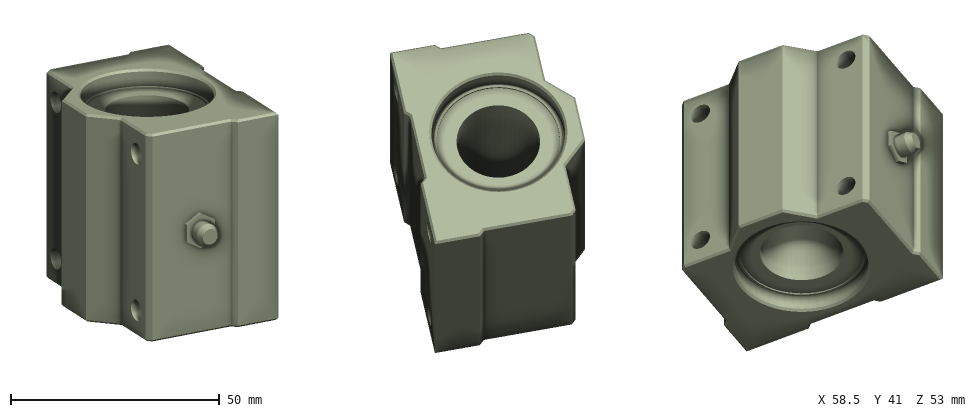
import cadquery as cq
import math


length = 53.0
half_width = 27.0
top_y = 21.0
bottom_y = -20.0
step = 1.2
shoulder_height = 11.0
lower_y = -13.9
belly_half_width = 6.0
groove_half_width = 8.7
edge_chamfer = 0.5

waist_half_width = half_width - step
waist_y = top_y - shoulder_height - step
belly_top_half_width = belly_half_width + (lower_y - bottom_y)

hole_pitch = 40.0
hole_diameter = 5.25

bearing_diameter = 32.05
bearing_bore = 20.0
bearing_recess = 4.0
bearing_chamfer = 0.65
seal_diameter = 29.6
seal_depth = 0.4

bearing_length = length - 2 * bearing_recess

hex_across_flats = 7.7
hex_thickness = 1.0
tip_x = 31.45
neck_radius = 2.6
head_radius = 2.75
tip_radius = 2.0
tip_taper_length = 1.65

nipple_length = tip_x - waist_half_width


def make_housing():
    """Stepped block with a bearing bore and four mounting holes."""
    right_side = [
        (groove_half_width, top_y - step),
        (groove_half_width + step, top_y),
        (half_width, top_y),
        (half_width, top_y - shoulder_height),
        (waist_half_width, waist_y),
        (waist_half_width, lower_y + step),
        (waist_half_width - step, lower_y),
        (belly_top_half_width, lower_y),
        (belly_half_width, bottom_y),
    ]
    left_side = [(-x, y) for x, y in reversed(right_side)]
    block = (
        cq.Workplane("XY", origin=(0, 0, -length / 2))
        .polyline(right_side + left_side)
        .close()
        .extrude(length)
        .faces("|Z")
        .chamfer(edge_chamfer)
    )
    bore = (
        cq.Workplane("XY", origin=(0, 0, -length / 2))
        .circle(bearing_diameter / 2)
        .extrude(length)
    )
    bored_block = block.cut(bore).edges("%CIRCLE").chamfer(edge_chamfer)
    holes = (
        cq.Workplane("XZ", origin=(0, top_y, 0))
        .rect(hole_pitch, hole_pitch, forConstruction=True)
        .vertices()
        .circle(hole_diameter / 2)
        .extrude(top_y - bottom_y)
    )
    return bored_block.cut(holes)


def make_bearing():
    """Bearing sleeve with chamfered ends and a sunken seal face at each end."""
    sleeve = (
        cq.Workplane("XY", origin=(0, 0, -bearing_length / 2))
        .circle(bearing_diameter / 2)
        .extrude(bearing_length)
        .faces("|Z")
        .chamfer(bearing_chamfer)
    )
    for end in (">Z", "<Z"):
        sleeve = sleeve.faces(end).workplane().circle(seal_diameter / 2).cutBlind(-seal_depth)
    return sleeve.faces(">Z").workplane().circle(bearing_bore / 2).cutThruAll()


def make_nipple():
    """Hexagonal base seated on the housing side, with a flared and tapered head."""
    across_corners = hex_across_flats / math.cos(math.pi / 6)
    seat = cq.Workplane("YZ", origin=(waist_half_width, 0, 0))
    base = seat.transformed(rotate=(0, 0, 90)).polygon(6, across_corners).extrude(hex_thickness)
    head = (
        cq.Workplane("XY", origin=(waist_half_width, 0, 0))
        .moveTo(0, 0)
        .lineTo(0, neck_radius)
        .lineTo(hex_thickness, neck_radius)
        .lineTo(nipple_length - tip_taper_length, head_radius)
        .lineTo(nipple_length, tip_radius)
        .lineTo(nipple_length, 0)
        .close()
        .revolve(360, (0, 0, 0), (1, 0, 0))
    )
    return base.union(head)


housing = make_housing()
bearing = make_bearing()
nipple = make_nipple()

result = cq.Compound.makeCompound([housing.val(), bearing.val(), nipple.val()])